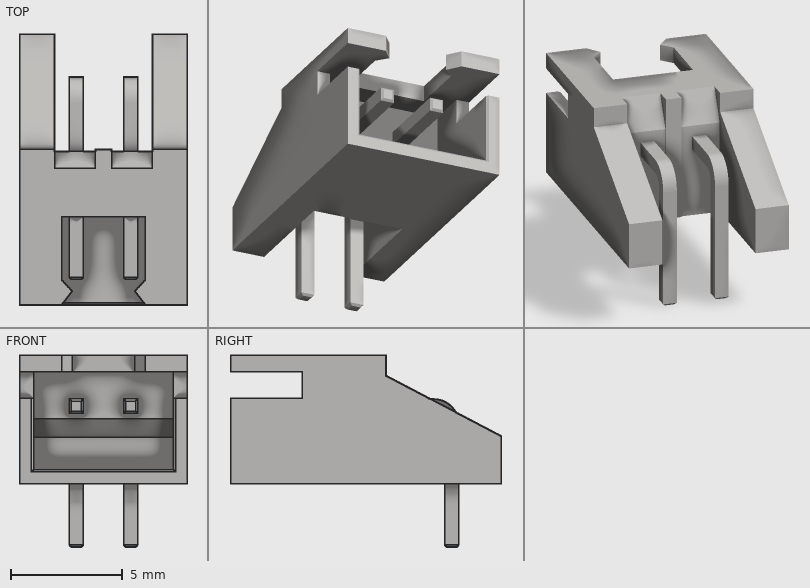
import cadquery as cq

width = 7.5
length = 12.1
height = 5.75

shroud_length = 6.95
wing_slope_top = 4.83
wing_rear_height = 2.13
wing_width = 1.565

wall = 0.63
roof_bottom = 5.0
cavity_depth = 5.19
undercut_top = 2.91
undercut_bottom = 2.09
undercut_depth = undercut_top - undercut_bottom
lead_in_size = 0.1

side_slot_depth = 3.2
side_slot_bottom = 3.83

latch_half_width = 1.875
latch_depth = 3.94
barb_rear = 1.13
barb_tip = 0.62
barb_half_width = 1.4

rib_width = 0.72
rear_face = 6.87
relief_top = 6.11
relief_bottom_height = 4.3

pin_pitch = 2.43
pin_size = 0.64
pin_axis_height = 3.47
pin_front = 1.14
pin_rear_axis = 9.88
pin_tail = 2.83
pin_bend_inner = 0.49
pin_chamfer = 0.1

cavity_width = width - 2 * wall
wing_gap = width - 2 * wing_width


def box(x_size, y_range, z_range):
    """Box centred on X = 0 that spans the given Y and Z ranges."""
    y_size = y_range[1] - y_range[0]
    z_size = z_range[1] - z_range[0]
    corner = (-x_size / 2, y_range[0], z_range[0])
    return cq.Workplane("XY").box(x_size, y_size, z_size, centered=False).translate(corner)


def side_prism(points, x_size):
    """Prism with a (Y, Z) outline, centred on X = 0."""
    return cq.Workplane("YZ").polyline(points).close().extrude(x_size / 2, both=True)


def make_shell():
    """Outer block with the sloping wings and the gap between them."""
    profile = [
        (0, 0),
        (length, 0),
        (length, wing_rear_height),
        (shroud_length, wing_slope_top),
        (shroud_length, height),
        (0, height),
    ]
    gap = box(wing_gap, (shroud_length, length), (0, height))
    return side_prism(profile, width).cut(gap)


def make_cavity():
    """Plug cavity, undercut at the lower rear and open at the front."""
    profile = [
        (0, wall),
        (cavity_depth + undercut_depth, wall),
        (cavity_depth + undercut_depth, undercut_bottom),
        (cavity_depth, undercut_top),
        (cavity_depth, roof_bottom),
        (0, roof_bottom),
    ]
    return side_prism(profile, cavity_width)


def make_lead_in():
    """Tapered mouth along the floor and side walls of the cavity."""
    mouth_bottom = wall - lead_in_size
    mouth_width = cavity_width + 2 * lead_in_size
    return (
        cq.Workplane("XZ")
        .center(0, (mouth_bottom + roof_bottom) / 2)
        .rect(mouth_width, roof_bottom - mouth_bottom)
        .workplane(offset=-lead_in_size)
        .center(0, (wall - mouth_bottom) / 2)
        .rect(cavity_width, roof_bottom - wall)
        .loft()
    )


def make_side_slots():
    """Slot under the roof, open to both sides and to the front."""
    return box(width, (0, side_slot_depth), (side_slot_bottom, roof_bottom))


def make_latch_opening():
    """Opening in the roof with a pair of barbs near the front."""
    right_side = [
        (latch_half_width, 0),
        (barb_half_width, barb_tip),
        (latch_half_width, barb_rear),
        (latch_half_width, latch_depth),
    ]
    left_side = [(-x, y) for x, y in reversed(right_side)]
    outline = cq.Workplane("XY").workplane(offset=roof_bottom).polyline(right_side + left_side)
    return outline.close().extrude(height - roof_bottom)


def make_rear_reliefs():
    """Sloped cuts into the rear face that leave the central rib standing."""
    profile = [
        (relief_top, height),
        (rear_face, relief_bottom_height),
        (rear_face, 0),
        (shroud_length, 0),
        (shroud_length, height),
    ]
    rib = box(rib_width, (relief_top, shroud_length), (0, height))
    return side_prism(profile, wing_gap).cut(rib)


def make_pin_tip():
    """Tapered pin end on the XY plane, pointing along +Z."""
    tip_size = pin_size - 2 * pin_chamfer
    return (
        cq.Workplane("XY")
        .rect(pin_size, pin_size)
        .workplane(offset=pin_chamfer)
        .rect(tip_size, tip_size)
        .loft()
    )


def make_pin():
    """Right-angle square pin at X = 0 with a rounded bend and tapered ends."""
    half = pin_size / 2
    front = pin_front + pin_chamfer
    tail_end = -pin_tail + pin_chamfer
    bend_radius = pin_bend_inner + half
    path = (
        cq.Workplane("YZ")
        .moveTo(front, pin_axis_height)
        .lineTo(pin_rear_axis - bend_radius, pin_axis_height)
        .radiusArc((pin_rear_axis, pin_axis_height - bend_radius), bend_radius)
        .lineTo(pin_rear_axis, tail_end)
    )
    start = cq.Workplane("XZ", origin=(0, front, pin_axis_height))
    bar = start.rect(pin_size, pin_size).sweep(path)
    front_tip = make_pin_tip().rotate((0, 0, 0), (1, 0, 0), 90).translate((0, front, pin_axis_height))
    tail_tip = make_pin_tip().rotate((0, 0, 0), (1, 0, 0), 180).translate((0, pin_rear_axis, tail_end))
    return bar.union(front_tip).union(tail_tip)


result = make_shell()
for cutter in (
    make_cavity(),
    make_lead_in(),
    make_side_slots(),
    make_latch_opening(),
    make_rear_reliefs(),
):
    result = result.cut(cutter)
for side in (-1, 1):
    result = result.union(make_pin().translate((side * pin_pitch / 2, 0, 0)))